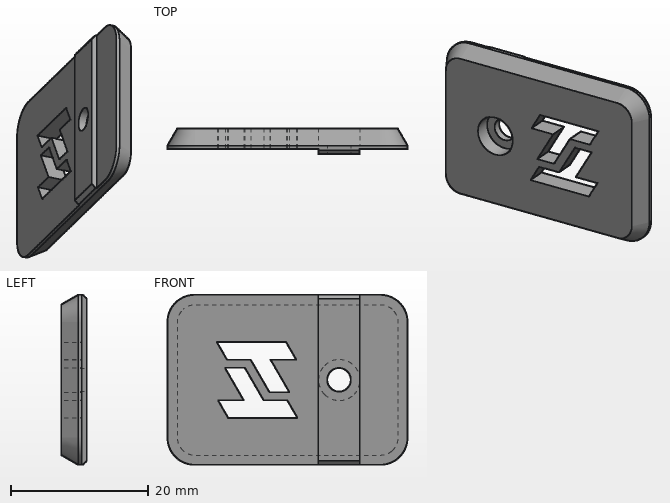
import cadquery as cq
import math

PLATE_WIDTH = 35.0
PLATE_HEIGHT = 24.8
CORNER_RADIUS = 4.0
RIM_THICKNESS = 0.5
TAPER_DEPTH = 2.5
TAPER_ANGLE = 30.0
PLATE_THICKNESS = RIM_THICKNESS + TAPER_DEPTH

RAIL_X = 7.5
RAIL_WIDTH = 6.0
RAIL_HEIGHT = 0.75
RAIL_END_CHAMFER = 0.6
FRONT_Y = -RAIL_HEIGHT
BACK_Y = PLATE_THICKNESS

HOLE_DIAMETER = 3.4
COUNTERBORE_DIAMETER = 6.0
COUNTERBORE_DEPTH = 2.5

WINDOW_CENTER_X = -4.42
WINDOW_CENTER_Z = -0.03
WINDOW_TOP_Z = 5.5
BAR_LENGTH = 10.05
BAR_HEIGHT = 2.54
BAR_START_X = -5.84
STEM_START_X = -0.93
STEM_WIDTH = 2.87
STEM_LENGTH = 4.74
SLANT_ANGLE = 30.0


def section(y):
    """Sketch plane square to Y, with local axes X and Z; positive extrusion runs towards the front."""
    return cq.Workplane("XZ", origin=(0, y, 0))


def plate_outline(y):
    return section(y).sketch().rect(PLATE_WIDTH, PLATE_HEIGHT).vertices().fillet(CORNER_RADIUS).finalize()


def make_plate():
    rim = plate_outline(0).extrude(-RIM_THICKNESS)
    body = plate_outline(RIM_THICKNESS).extrude(-TAPER_DEPTH, taper=TAPER_ANGLE)
    return rim.union(body)


def make_rail():
    rail = section(0).center(RAIL_X, 0).rect(RAIL_WIDTH, PLATE_HEIGHT).extrude(RAIL_HEIGHT)
    return rail.faces("<Y").edges("|X").chamfer(RAIL_END_CHAMFER)


def make_screw_hole():
    shank = section(FRONT_Y).center(RAIL_X, 0).circle(HOLE_DIAMETER / 2)
    shank = shank.extrude(-(BACK_Y - FRONT_Y))
    head = section(BACK_Y).center(RAIL_X, 0).circle(COUNTERBORE_DIAMETER / 2).extrude(COUNTERBORE_DEPTH)
    return shank.union(head)


def make_window():
    """Upper window: a bar with a stem below it, both leaning by the slant angle."""
    slant = math.tan(math.radians(SLANT_ANGLE))
    bar_shift = BAR_HEIGHT * slant
    stem_shift = STEM_LENGTH * slant
    bar_bottom = WINDOW_TOP_Z - BAR_HEIGHT
    stem_bottom = bar_bottom - STEM_LENGTH
    bar_end = BAR_START_X + BAR_LENGTH
    stem_end = STEM_START_X + STEM_WIDTH
    outline = [
        (BAR_START_X, WINDOW_TOP_Z),
        (bar_end, WINDOW_TOP_Z),
        (bar_end + bar_shift, bar_bottom),
        (stem_end, bar_bottom),
        (stem_end + stem_shift, stem_bottom),
        (STEM_START_X + stem_shift, stem_bottom),
        (STEM_START_X, bar_bottom),
        (BAR_START_X + bar_shift, bar_bottom),
    ]
    return section(0).polyline(outline).close().extrude(-PLATE_THICKNESS)


result = make_plate().union(make_rail()).cut(make_screw_hole())
for turn in (0, 180):
    window = make_window().rotate((0, 0, 0), (0, 1, 0), turn)
    result = result.cut(window.translate((WINDOW_CENTER_X, 0, WINDOW_CENTER_Z)))